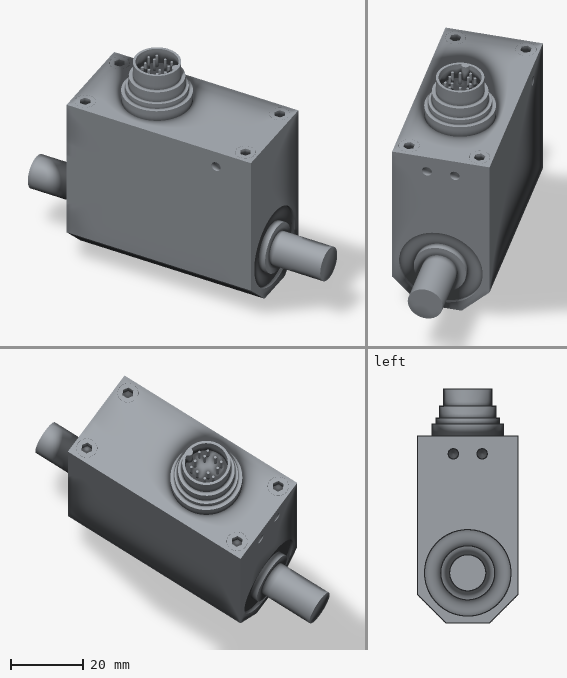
import cadquery as cq
import math

body_length = 58.0
body_width = 28.0
body_height = 52.0
edge_cut = 8.0

shaft_length = 92.0
shaft_diameter = 10.0
shaft_height = 14.0
collar_diameter = 15.0
collar_projection = 1.0
recess_diameter = 24.0
recess_depth = 1.0

connector_x = -8.0
connector_steps = [(20.0, 3.3), (17.7, 5.0), (15.7, 8.3), (13.4, 13.1)]
connector_height = connector_steps[-1][1]
socket_diameter = 12.0
socket_depth = 4.8
key_diameter = 2.4

pin_diameter = 0.76
pin_length = 3.8
pin_places = [(4.2, 45), (4.2, 118.5), (4.2, 151.5), (3.3, 15), (3.3, 75), (2.6, 135)]

screw_x = 25.2
screw_y = 10.1
counterbore_diameter = 5.8
screw_head_diameter = 5.7
head_gap_depth = 3.0
hex_across_flats = 2.85
hex_depth = 2.3

drill_diameter = 2.85
drill_depth = 5.0
drill_tip_angle = 118.0
drill_drop = 5.0
end_hole_y = 4.0
front_hole_x = 18.0


def disc(diameter, height, x, y, z):
    """Upright cylinder standing on the point (x, y, z)."""
    return cq.Workplane("XY", origin=(x, y, z)).circle(diameter / 2).extrude(height)


def shaft_section(diameter, length):
    """Cylinder on the shaft axis, centred on the housing."""
    plane = cq.Workplane("YZ", origin=(-length / 2, 0, shaft_height))
    return plane.circle(diameter / 2).extrude(length)


def make_housing():
    block = cq.Workplane("XY").box(body_length, body_width, body_height, centered=(True, True, False))
    return block.faces("<Z").edges("|X").chamfer(edge_cut)


def add_shaft(body):
    recess_floor_span = body_length - 2 * recess_depth
    recess_rings = shaft_section(recess_diameter, body_length).cut(
        shaft_section(recess_diameter, recess_floor_span)
    )
    collars = shaft_section(collar_diameter, body_length + 2 * collar_projection)
    shaft = shaft_section(shaft_diameter, shaft_length)
    return body.cut(recess_rings).union(collars).union(shaft)


def add_connector(body):
    for diameter, height in connector_steps:
        body = body.union(disc(diameter, height, connector_x, 0, body_height))

    rim_z = body_height + connector_height
    socket_floor = rim_z - socket_depth
    socket = disc(socket_diameter, socket_depth, connector_x, 0, socket_floor)
    key_x = connector_x + socket_diameter / 2
    key = disc(key_diameter, socket_depth, key_x, 0, socket_floor)
    body = body.cut(socket.cut(key))

    for radius, angle in pin_places:
        for half_turn in (0, 180):
            direction = math.radians(angle + half_turn)
            pin_x = connector_x + radius * math.cos(direction)
            pin_y = radius * math.sin(direction)
            body = body.union(disc(pin_diameter, pin_length, pin_x, pin_y, socket_floor))
    return body


def cut_screws(body):
    hex_across_corners = hex_across_flats / math.cos(math.radians(30))
    places = [(x, y) for x in (-screw_x, screw_x) for y in (-screw_y, screw_y)]
    top = cq.Workplane("XY", origin=(0, 0, body_height)).pushPoints(places)
    head_gaps = top.circle(counterbore_diameter / 2).circle(screw_head_diameter / 2).extrude(-head_gap_depth)
    sockets = top.polygon(6, hex_across_corners).extrude(-hex_depth)
    return body.cut(head_gaps).cut(sockets)


def drill(start, direction):
    """Drilled hole with a conical bottom, starting on a face and running inward."""
    radius = drill_diameter / 2
    tip_length = radius / math.tan(math.radians(drill_tip_angle / 2))
    straight = cq.Solid.makeCylinder(radius, drill_depth, start, direction)
    tip = cq.Solid.makeCone(radius, 0, tip_length, start + direction * drill_depth, direction)
    return straight.fuse(tip)


def cut_drilled_holes(body):
    hole_z = body_height - drill_drop
    for y in (-end_hole_y, end_hole_y):
        body = body.cut(drill(cq.Vector(-body_length / 2, y, hole_z), cq.Vector(1, 0, 0)))
    front_start = cq.Vector(front_hole_x, -body_width / 2, hole_z)
    return body.cut(drill(front_start, cq.Vector(0, 1, 0)))


housing = add_shaft(make_housing())
housing = cut_screws(housing)
housing = cut_drilled_holes(housing)
result = add_connector(housing)